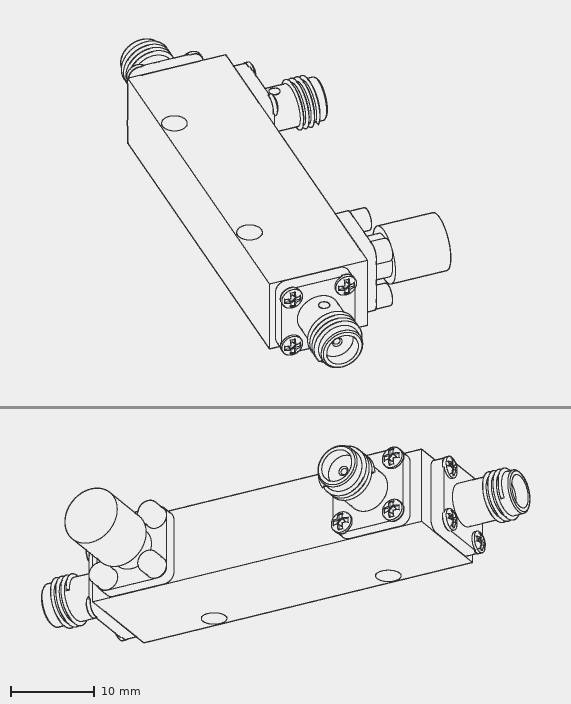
import cadquery as cq


OVERALL_LENGTH = 64.25
BLOCK_LENGTH = 45.1
BLOCK_DEPTH = 12.7
BLOCK_HEIGHT = 9.7
MOUNT_HOLE_DIAMETER = 3.1
MOUNT_HOLE_SPACING = 23.9
MOUNT_HOLE_Y = 1.75

END_PORT_Y = 5.6
REAR_PORT_SPACING = 32.4
PORT_REACH = (OVERALL_LENGTH - BLOCK_LENGTH) / 2

FLANGE_SIDE = 9.6
FLANGE_THICKNESS = 1.8
FLANGE_CORNER_RADIUS = 1.3

BARREL_DIAMETER = 5.4
BORE_DIAMETER = 4.1
BORE_DEPTH = 1.7
RIM_CHAMFER = 0.2
CONTACT_DIAMETER = 0.85
CONTACT_LEAD_IN = 0.2
CONTACT_DEPTH = 1.9
PLUG_DIAMETER = 1.35
PLUG_HEIGHT = 3.7

THREAD_DIAMETER = 6.35
THREAD_PITCH = 0.7
THREAD_TURNS = 3.6
THREAD_START = 0.9
THREAD_RIDGE_WIDTH = 0.6
THREAD_ROOT_OVERLAP = 0.1

SCREW_SPACING = 7.0
SCREW_DIAMETER = 2.7
SCREW_SEAT_DEPTH = 0.2
SCREW_RISE = 0.8
SCREW_DOME_HEIGHT = 0.45
RECESS_LENGTH = 2.05
RECESS_WIDTH = 0.65
RECESS_DEPTH = 0.45
RECESS_CENTER_SIDE = 0.8
RECESS_CENTER_DEPTH = 0.65

CAP_DIAMETER = 7.2
CAP_LENGTH = 7.2
TERMINATION_REACH = 11.95
CAP_SCREW_SPACING = 6.7
CAP_SCREW_DIAMETER = 2.8
CAP_SCREW_RISE = 2.2
CAP_SCREW_EDGE_RADIUS = 0.2



def screw_places(spacing):
    flange_face = cq.Workplane("XY", origin=(0, 0, FLANGE_THICKNESS))
    return flange_face.rect(spacing, spacing, forConstruction=True).vertices()


def flange():
    plate = cq.Workplane("XY").rect(FLANGE_SIDE, FLANGE_SIDE).extrude(FLANGE_THICKNESS)
    return plate.edges("|Z").fillet(FLANGE_CORNER_RADIUS)


def thread():
    """Helical V ridge whose crest reaches the thread diameter and whose root is buried in the barrel."""
    root = BARREL_DIAMETER / 2 - THREAD_ROOT_OVERLAP
    crest = THREAD_DIAMETER / 2
    half_width = THREAD_RIDGE_WIDTH / 2
    helix_height = THREAD_PITCH * THREAD_TURNS
    helix_bottom = PORT_REACH - THREAD_START - half_width - helix_height
    helix = cq.Workplane(cq.Wire.makeHelix(THREAD_PITCH, helix_height, root))
    ridge = (
        cq.Workplane("XZ")
        .polyline([(root, -half_width), (crest, 0), (root, half_width)])
        .close()
        .sweep(helix, isFrenet=True)
    )
    return ridge.translate((0, 0, helix_bottom))


def jack_barrel():
    barrel = cq.Workplane("XY").circle(BARREL_DIAMETER / 2).extrude(PORT_REACH)
    barrel = barrel.faces(">Z").chamfer(RIM_CHAMFER)
    plug_plane = cq.Workplane("XZ", origin=(0, 0, PLUG_HEIGHT))
    plug = plug_plane.circle(PLUG_DIAMETER / 2).extrude(-BARREL_DIAMETER / 2)
    barrel = barrel.union(thread()).union(plug)
    rim = cq.Workplane("XY", origin=(0, 0, PORT_REACH))
    bore = rim.circle(BORE_DIAMETER / 2).extrude(-BORE_DEPTH)
    contact_hole = rim.circle(CONTACT_DIAMETER / 2).extrude(-BORE_DEPTH - CONTACT_DEPTH)
    barrel = barrel.cut(bore).cut(contact_hole)
    mouth_radius = CONTACT_DIAMETER / 2 + CONTACT_LEAD_IN
    mouth = cq.Solid.makeCone(
        mouth_radius,
        CONTACT_DIAMETER / 2,
        CONTACT_LEAD_IN,
        pnt=cq.Vector(0, 0, PORT_REACH - BORE_DEPTH),
        dir=cq.Vector(0, 0, -1),
    )
    return barrel.cut(cq.Workplane(mouth))


def domed_screw():
    """Head sunk slightly into the flange, with a straight rim, a spherical dome and a cross recess."""
    radius = SCREW_DIAMETER / 2
    sphere_radius = (radius**2 + SCREW_DOME_HEIGHT**2) / (2 * SCREW_DOME_HEIGHT)
    head = cq.Workplane("XY", origin=(0, 0, -SCREW_SEAT_DEPTH)).circle(radius)
    head = head.extrude(SCREW_SEAT_DEPTH + SCREW_RISE)
    dome = cq.Workplane("XY", origin=(0, 0, SCREW_RISE - sphere_radius)).sphere(sphere_radius)
    head = head.intersect(dome)
    top = cq.Workplane("XY", origin=(0, 0, SCREW_RISE))
    for size in ((RECESS_LENGTH, RECESS_WIDTH), (RECESS_WIDTH, RECESS_LENGTH)):
        head = head.cut(top.rect(*size).extrude(-RECESS_DEPTH))
    center = top.rect(RECESS_CENTER_SIDE, RECESS_CENTER_SIDE).extrude(-RECESS_CENTER_DEPTH)
    return head.cut(center.rotate((0, 0, 0), (0, 0, 1), 45))


def cap_screw():
    head = cq.Workplane("XY").circle(CAP_SCREW_DIAMETER / 2).extrude(CAP_SCREW_RISE)
    return head.faces(">Z").edges().fillet(CAP_SCREW_EDGE_RADIUS)


def place_screws(screw, spacing):
    return screw_places(spacing).eachpoint(lambda place: screw.val().moved(place), combine=False)


def jack():
    screws = place_screws(domed_screw(), SCREW_SPACING)
    return flange().union(screws).union(jack_barrel())


def termination():
    neck = cq.Workplane("XY").circle(BARREL_DIAMETER / 2).extrude(TERMINATION_REACH)
    cap_start = TERMINATION_REACH - CAP_LENGTH
    cap = cq.Workplane("XY", origin=(0, 0, cap_start)).circle(CAP_DIAMETER / 2).extrude(CAP_LENGTH)
    screws = place_screws(cap_screw(), CAP_SCREW_SPACING)
    return flange().union(screws).union(neck).union(cap)


def block():
    body = cq.Workplane("XY").box(BLOCK_LENGTH, BLOCK_DEPTH, BLOCK_HEIGHT)
    body = body.translate((0, BLOCK_DEPTH / 2, 0))
    hole_x = MOUNT_HOLE_SPACING / 2
    holes = (
        cq.Workplane("XY", origin=(0, 0, -BLOCK_HEIGHT / 2))
        .pushPoints([(-hole_x, MOUNT_HOLE_Y), (hole_x, MOUNT_HOLE_Y)])
        .circle(MOUNT_HOLE_DIAMETER / 2)
        .extrude(BLOCK_HEIGHT)
    )
    return body.cut(holes)


def mount(port, seat, direction):
    """Seat a port on the block so that it points along direction with local +y turned to +Z."""
    side = cq.Vector(0, 0, 1).cross(cq.Vector(*direction))
    plane = cq.Plane(origin=seat, xDir=side, normal=direction)
    return port.val().moved(cq.Location(plane))


end_x = BLOCK_LENGTH / 2
rear_x = REAR_PORT_SPACING / 2

coupler = block()
coupler = coupler.union(mount(jack(), (-end_x, END_PORT_Y, 0), (-1, 0, 0)))
coupler = coupler.union(mount(jack(), (end_x, END_PORT_Y, 0), (1, 0, 0)))
coupler = coupler.union(mount(jack(), (-rear_x, BLOCK_DEPTH, 0), (0, 1, 0)))
coupler = coupler.union(mount(termination(), (rear_x, BLOCK_DEPTH, 0), (0, 1, 0)))
result = cq.Workplane(coupler.solids().val())